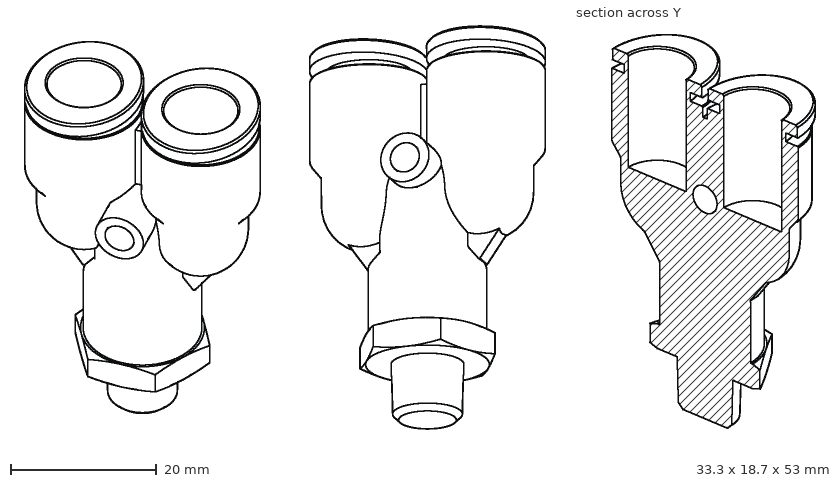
import cadquery as cq
import math

overall_height = 53.0
thread_length = 8.0
hex_height = 4.0
hex_top = thread_length + hex_height
shoulder_drop = 2.0
stem_shoulder_base = 21.9
socket_shoulder_top = 38.05
collar_thickness = 2.0
collar_base = overall_height - collar_thickness
collar_gap = 1.3
socket_top = collar_base - collar_gap

barrel_radius = 8.15
narrow_radius = 6.55
shoulder_fillet = 0.85
selection_margin = 0.1
socket_offset = 8.5
socket_dome_height = 31.9
socket_rim_chamfer = 0.15

thread_top_radius = 5.0
thread_end_radius = 4.8
thread_chamfer = 0.85
hex_across_flats = 17.0
hex_chamfer_angle = math.radians(20)

collar_half_x = 8.0
collar_half_y = 9.35
collar_chamfer = 0.3
sleeve_radius = 5.9
bore_radius = 5.1
bore_depth = 18.0
bore_chamfer = 0.25

boss_height = 35.0
boss_radius = 3.5
boss_hole_radius = 2.1
boss_length = 2 * collar_half_y

web_thickness = 3.0
web_top = 48.0
rib_base = 22.0
rib_top = 26.2
rib_top_half_width = 11.1


def barrel(wide_end, shoulder_start, shoulder_end, narrow_end):
    """Barrel that narrows through a cone with rounded edges and ends in a dome."""
    turned = (
        cq.Workplane("XZ")
        .moveTo(0, wide_end)
        .lineTo(barrel_radius, wide_end)
        .lineTo(barrel_radius, shoulder_start)
        .lineTo(narrow_radius, shoulder_end)
        .lineTo(narrow_radius, narrow_end)
        .lineTo(0, narrow_end)
        .close()
        .revolve(360, (0, 0), (0, 1))
    )
    low = min(shoulder_start, shoulder_end) - selection_margin
    high = max(shoulder_start, shoulder_end) + selection_margin
    shoulder_edges = cq.selectors.BoxSelector(
        (-barrel_radius, -barrel_radius, low),
        (barrel_radius, barrel_radius, high),
    )
    rounded = turned.edges("%CIRCLE").edges(shoulder_edges).fillet(shoulder_fillet)
    dome = cq.Workplane("XY").sphere(narrow_radius).translate((0, 0, narrow_end))
    return rounded.union(dome)


def threaded_end():
    """Tapered male end with a chamfered tip."""
    return (
        cq.Workplane("XZ")
        .lineTo(thread_end_radius - thread_chamfer, 0)
        .lineTo(thread_end_radius, thread_chamfer)
        .lineTo(thread_top_radius, thread_length)
        .lineTo(0, thread_length)
        .close()
        .revolve(360, (0, 0), (0, 1))
    )


def hexagon():
    """Hexagon with corners on the X axis, its corners turned off at both faces."""
    flat_radius = hex_across_flats / 2
    corner_radius = flat_radius / math.cos(math.pi / 6)
    corner_drop = (corner_radius - flat_radius) * math.tan(hex_chamfer_angle)
    prism = cq.Workplane("XY").polygon(6, 2 * corner_radius).extrude(hex_height)
    turned = (
        cq.Workplane("XZ")
        .lineTo(flat_radius, 0)
        .lineTo(corner_radius, corner_drop)
        .lineTo(corner_radius, hex_height - corner_drop)
        .lineTo(flat_radius, hex_height)
        .lineTo(0, hex_height)
        .close()
        .revolve(360, (0, 0), (0, 1))
    )
    return prism.intersect(turned).translate((0, 0, thread_length))


def stem():
    """Barrel above the hexagon, ending in a neck with a rounded top."""
    neck_top = boss_height - boss_radius
    return barrel(hex_top, stem_shoulder_base, stem_shoulder_base + shoulder_drop, neck_top)


def socket():
    """Tube socket with its rounded lower end."""
    shoulder_bottom = socket_shoulder_top - shoulder_drop
    body = barrel(socket_top, socket_shoulder_top, shoulder_bottom, socket_dome_height)
    return body.faces(">Z").edges().chamfer(socket_rim_chamfer)


def release_collar():
    """Oval collar on a round sleeve above the socket."""
    collar = (
        cq.Workplane("XY", origin=(0, 0, collar_base))
        .ellipse(collar_half_x, collar_half_y)
        .extrude(collar_thickness)
        .faces(">Z")
        .edges()
        .chamfer(collar_chamfer)
    )
    sleeve = cq.Workplane("XY", origin=(0, 0, socket_top)).circle(sleeve_radius).extrude(collar_gap)
    return collar.union(sleeve)


def tube_bore():
    """Blind bore for the tube, with a chamfered mouth."""
    bore = (
        cq.Workplane("XY", origin=(0, 0, overall_height - bore_depth))
        .circle(bore_radius)
        .extrude(bore_depth)
    )
    mouth = cq.Solid.makeCone(
        bore_radius,
        bore_radius + bore_chamfer,
        bore_chamfer,
        pnt=cq.Vector(0, 0, overall_height - bore_chamfer),
    )
    return bore.union(cq.Workplane(mouth))


def side_ribs():
    """Plate joining the stem shoulder to both socket domes."""
    return (
        cq.Workplane("XZ")
        .moveTo(-barrel_radius, rib_base)
        .lineTo(barrel_radius, rib_base)
        .lineTo(rib_top_half_width, rib_top)
        .lineTo(-rib_top_half_width, rib_top)
        .close()
        .extrude(web_thickness / 2, both=True)
    )


def socket_web():
    """Plate filling the gap between the two sockets."""
    height = web_top - boss_height
    return (
        cq.Workplane("XY", origin=(0, 0, boss_height))
        .rect(socket_offset, web_thickness)
        .extrude(height)
    )


def cross_cylinder(radius):
    """Cylinder along Y through the boss centre."""
    return (
        cq.Workplane("XZ", origin=(0, 0, boss_height))
        .circle(radius)
        .extrude(boss_length / 2, both=True)
    )


result = threaded_end().union(hexagon()).union(stem())
result = result.union(side_ribs()).union(socket_web()).union(cross_cylinder(boss_radius))
socket_positions = [(-socket_offset, 0, 0), (socket_offset, 0, 0)]
for position in socket_positions:
    result = result.union(socket().translate(position))
    result = result.union(release_collar().translate(position))

for position in socket_positions:
    result = result.cut(tube_bore().translate(position))
result = result.cut(cross_cylinder(boss_hole_radius))